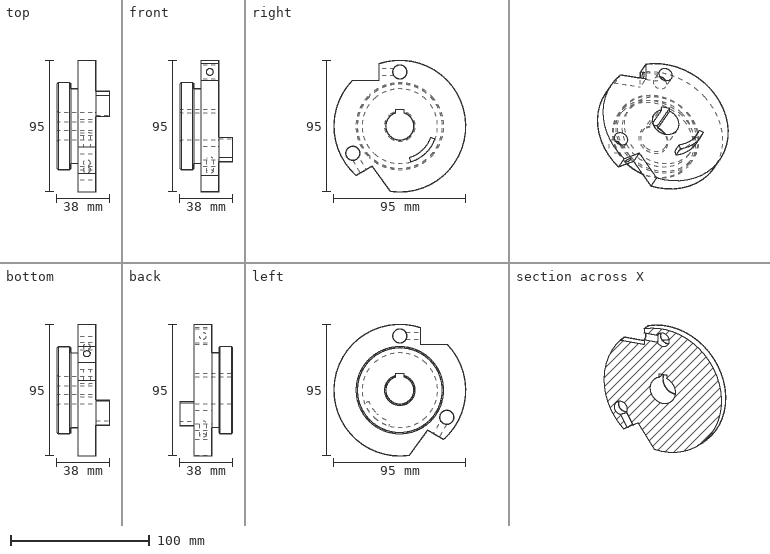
import cadquery as cq
import math

collar_end = 10.0
flange_start = 15.0
flange_end = 28.0
total_length = 38.0

flange_radius = 47.5
collar_diameter = 63.0
neck_diameter = 54.0
collar_front_chamfer = 1.0
collar_back_chamfer = 0.9

bore_diameter = 19.9
bore_chamfer = 1.0
keyway_width = 6.0
keyway_top = 12.0

mount_diameter = 10.0
mount_radius = 39.0
mount_pitch = 120.0
screw_diameter = 4.9
screw_x = (flange_start + flange_end) / 2

wall_offset = 15.0
upper_floor = 33.0
lower_corner_radius = 31.7
lower_floor_slope = 5.9
notch_reach = 57.0

lug_inner_radius = 23.65
lug_outer_radius = 26.9
lug_start_angle = 20.0
lug_end_angle = 73.0


def disc(start, end, diameter):
    """Cylinder about the X axis between two stations."""
    return cq.Workplane("YZ", origin=(start, 0, 0)).circle(diameter / 2).extrude(end - start)


def turn(shape, angle):
    """Rotate about the X axis, carrying +Z toward -Y."""
    return shape.rotate((0, 0, 0), (1, 0, 0), angle)


def mounting_hole():
    """Hole through the flange on +Z, met by a setscrew hole from the -Y side."""
    main = disc(flange_start, flange_end, mount_diameter).translate((0, 0, mount_radius))
    screw = (
        cq.Workplane("XZ", origin=(screw_x, 0, mount_radius))
        .circle(screw_diameter / 2)
        .extrude(wall_offset)
    )
    return main.union(screw)


def notch(corner_radius, floor_slope):
    """Notch on the -Y side of +Z; its floor drops toward the rim by the slope angle."""
    floor_drop = (notch_reach - wall_offset) * math.tan(math.radians(floor_slope))
    return (
        cq.Workplane("YZ", origin=(flange_start, 0, 0))
        .moveTo(-wall_offset, corner_radius)
        .lineTo(-wall_offset, notch_reach)
        .lineTo(-notch_reach, notch_reach)
        .lineTo(-notch_reach, corner_radius - floor_drop)
        .close()
        .extrude(flange_end - flange_start)
    )


def lug():
    """Ring sector standing on the +X face of the flange."""
    def point(radius, angle):
        turned = math.radians(angle)
        return radius * math.cos(turned), -radius * math.sin(turned)

    middle = (lug_start_angle + lug_end_angle) / 2
    return (
        cq.Workplane("YZ", origin=(flange_end, 0, 0))
        .moveTo(*point(lug_inner_radius, lug_start_angle))
        .threePointArc(point(lug_inner_radius, middle), point(lug_inner_radius, lug_end_angle))
        .lineTo(*point(lug_outer_radius, lug_end_angle))
        .threePointArc(point(lug_outer_radius, middle), point(lug_outer_radius, lug_start_angle))
        .close()
        .extrude(total_length - flange_end)
    )


collar = disc(0, collar_end, collar_diameter)
collar = collar.faces("<X").chamfer(collar_front_chamfer)
collar = collar.faces(">X").chamfer(collar_back_chamfer)
neck = disc(collar_end, flange_start, neck_diameter)
flange = disc(flange_start, flange_end, 2 * flange_radius)

flange = flange.cut(notch(upper_floor, 0))
flange = flange.cut(turn(notch(lower_corner_radius, lower_floor_slope), mount_pitch))
for index in range(2):
    flange = flange.cut(turn(mounting_hole(), index * mount_pitch))

body = collar.union(neck).union(flange).union(lug())

bore = disc(0, flange_end, bore_diameter)
bore_mouth = cq.Workplane(
    cq.Solid.makeCone(
        bore_diameter / 2 + bore_chamfer, bore_diameter / 2, bore_chamfer,
        pnt=cq.Vector(0, 0, 0), dir=cq.Vector(1, 0, 0),
    )
)
keyway = cq.Workplane("XY").box(
    flange_end, keyway_width, keyway_top, centered=(False, True, False)
)
result = body.cut(bore).cut(bore_mouth).cut(keyway)